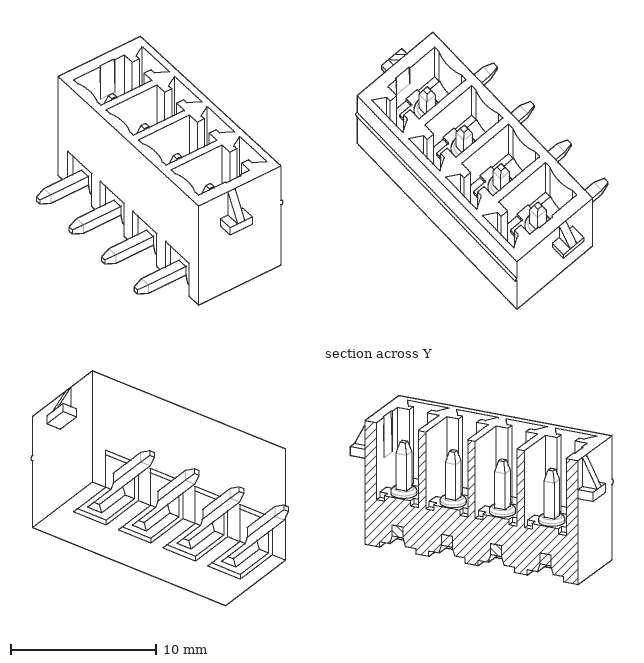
import cadquery as cq


pin_count = 4
pitch = 3.8
pin_xs = [(i - (pin_count - 1) / 2) * pitch for i in range(pin_count)]

overall_width = 18.73
body_width = 16.45
body_depth = 7.0
body_height = 9.2

pin_side = 0.8
pin_tip_side = 0.4
pin_taper_length = 0.79
pin_y = 2.8
pin_z = 1.4
pin_top = 7.74
tail_reach = 3.52
leg_back = pin_y + pin_side / 2
tail_top = pin_z + pin_side / 2
tail_bottom = pin_z - pin_side / 2

cavity_width = 3.2
cavity_front = 0.65
cavity_back = 6.48
cavity_floor = 3.5
tab_front = 4.98
tab_back = 5.58
neck_width = 1.39
dovetail_base_width = 2.14
bulge_width = 2.32
bulge_height = 0.22

plinth_height = 0.4
plinth_width = 2.05
plinth_back = 4.42
cross_arm_width = 1.01
boss_diameter = 1.8
boss_height = 0.4
boss_fillet = 0.2
plinth_top = cavity_floor + plinth_height
boss_top = plinth_top + boss_height

relief_depth = 0.1
relief_front = 2.95
relief_back = 4.18
relief_height = 3.0

window_width = 2.77
window_height = 3.07
window_depth = 0.45
underside_recess = 0.4
underside_back = 3.75
slot_mouth_width = 1.2

latch_reach = (overall_width - body_width) / 2
plate_width = 1.9
plate_bottom = 6.37
plate_top = 7.05
rib_width = 0.6

bead_radius = 0.2
bead_reach = 0.17
bead_z = 5.77


def block(x_size, y_range, z_range, x_center=0.0):
    """Box centred on x_center that spans the given Y and Z ranges."""
    corner = (x_center - x_size / 2, y_range[0], z_range[0])
    size_y = y_range[1] - y_range[0]
    size_z = z_range[1] - z_range[0]
    return cq.Workplane("XY").box(x_size, size_y, size_z, centered=False).translate(corner)


def make_cavity(x):
    """Plug cavity: bulged front wall, two tabs and a dovetail at the back."""
    half = cavity_width / 2
    neck = neck_width / 2
    base = dovetail_base_width / 2
    bulge = bulge_width / 2
    return (
        cq.Workplane("XY", origin=(x, 0, cavity_floor))
        .moveTo(-half, cavity_front)
        .lineTo(-bulge, cavity_front)
        .threePointArc((0, cavity_front + bulge_height), (bulge, cavity_front))
        .lineTo(half, cavity_front)
        .lineTo(half, tab_front)
        .lineTo(neck, tab_front)
        .lineTo(neck, tab_back)
        .lineTo(base, tab_back)
        .lineTo(half, cavity_back)
        .lineTo(-half, cavity_back)
        .lineTo(-base, tab_back)
        .lineTo(-neck, tab_back)
        .lineTo(-neck, tab_front)
        .lineTo(-half, tab_front)
        .close()
        .extrude(body_height - cavity_floor)
    )


def make_floor_boss(x):
    """Raised cross that spans the cavity floor, with a rounded boss around the pin."""
    floor_levels = (cavity_floor, plinth_top)
    arm_range = (pin_y - cross_arm_width / 2, pin_y + cross_arm_width / 2)
    plinth = block(plinth_width, (cavity_front, plinth_back), floor_levels, x)
    arms = block(cavity_width, arm_range, floor_levels, x)
    boss = (
        cq.Workplane("XY", origin=(x, pin_y, plinth_top))
        .circle(boss_diameter / 2)
        .extrude(boss_height)
        .faces(">Z")
        .edges()
        .fillet(boss_fillet)
    )
    return plinth.union(arms).union(boss)


def make_window(x):
    """Shallow window around the tail and the low recess under the pin."""
    window = block(window_width, (0, window_depth), (0, window_height), x)
    recess = block(window_width, (0, underside_back), (0, underside_recess), x)
    return window.union(recess)


def make_pin_slot(x):
    """Slot for the tail, flared at its lower mouth, and the hole for the upright leg."""
    half = pin_side / 2
    mouth = slot_mouth_width / 2
    slot = (
        cq.Workplane("XZ", origin=(x, 0, 0))
        .polyline(
            [
                (-mouth, underside_recess),
                (mouth, underside_recess),
                (half, tail_bottom),
                (half, tail_top),
                (-half, tail_top),
                (-half, tail_bottom),
            ]
        )
        .close()
        .extrude(-leg_back)
    )
    leg_hole = block(pin_side, (pin_y - half, leg_back), (tail_bottom, boss_top), x)
    return slot.union(leg_hole)


def make_relief(side):
    """Wedge cut from the end wall (side is -1 or 1), deepest at the top."""
    wall_x = pin_xs[-1] + cavity_width / 2
    return (
        cq.Workplane("XZ", origin=(0, relief_front, 0))
        .moveTo(side * wall_x, body_height)
        .lineTo(side * (wall_x + relief_depth), body_height)
        .lineTo(side * wall_x, body_height - relief_height)
        .close()
        .extrude(relief_front - relief_back)
    )


def make_latch(side):
    """Latch on one end of the housing (side is -1 or 1)."""
    wall_x = body_width / 2
    plate_range = (pin_y - plate_width / 2, pin_y + plate_width / 2)
    plate_center = side * (wall_x + latch_reach / 2)
    plate = block(latch_reach, plate_range, (plate_bottom, plate_top), plate_center)
    rib = (
        cq.Workplane("XZ", origin=(0, pin_y, 0))
        .moveTo(side * wall_x, body_height)
        .lineTo(side * (wall_x + latch_reach), plate_top)
        .lineTo(side * wall_x, plate_top)
        .close()
        .extrude(rib_width / 2, both=True)
    )
    return plate.union(rib)


def make_bead():
    """Round bead along the whole back face, partly sunk into it."""
    bead_y = body_depth + bead_reach - bead_radius
    return (
        cq.Workplane("YZ", origin=(-body_width / 2, 0, 0))
        .center(bead_y, bead_z)
        .circle(bead_radius)
        .extrude(body_width)
    )


def make_housing():
    """Housing with its cavities, pin slots, latches and bead."""
    body = block(body_width, (0, body_depth), (0, body_height)).union(make_bead())
    for side in (-1, 1):
        body = body.union(make_latch(side)).cut(make_relief(side))
    for x in pin_xs:
        floor_boss = make_floor_boss(x)
        body = body.cut(make_cavity(x).cut(floor_boss))
        body = body.cut(make_window(x)).cut(make_pin_slot(x))
    return body


def make_taper():
    """Four-sided tip that rises from the origin along Z."""
    return (
        cq.Workplane("XY")
        .rect(pin_side, pin_side)
        .workplane(offset=pin_taper_length)
        .rect(pin_tip_side, pin_tip_side)
        .loft(ruled=True)
    )


def make_pin(x):
    """Square L-shaped pin: an upright leg and a forward tail, both with tapered ends."""
    leg_end = pin_top - pin_taper_length
    tail_end = pin_taper_length - tail_reach
    leg = block(pin_side, (pin_y - pin_side / 2, leg_back), (tail_bottom, leg_end), x)
    tail = block(pin_side, (tail_end, leg_back), (tail_bottom, tail_top), x)
    leg_tip = make_taper().translate((x, pin_y, leg_end))
    tail_tip = make_taper().rotate((0, 0, 0), (1, 0, 0), 90).translate((x, tail_end, pin_z))
    return leg.union(tail).union(leg_tip).union(tail_tip)


housing = make_housing()
pins = [make_pin(x) for x in pin_xs]

result = cq.Compound.makeCompound([housing.solids().val(), *[pin.solids().val() for pin in pins]])